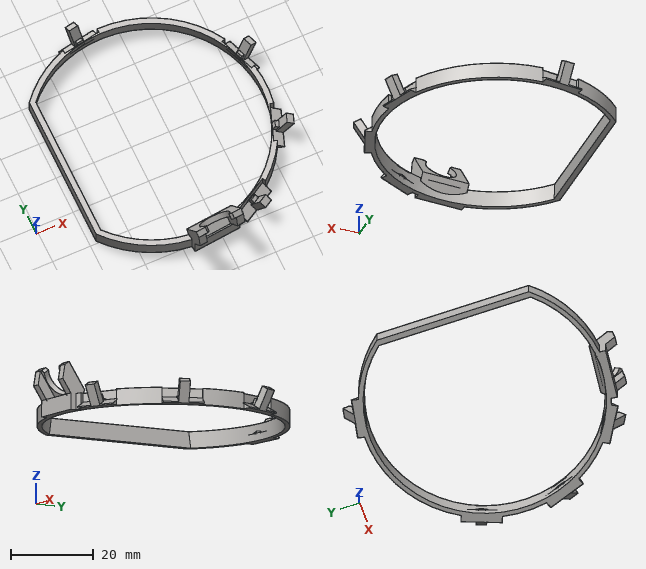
import cadquery as cq
import math

RING_OUTER_RADIUS = 30.5
BORE_TOP_RADIUS = 29.0
BORE_BOTTOM_RADIUS = 29.35
FLAT_WALL = 1.5
RING_HEIGHT = 4.0
FLAT_DISTANCE = 23.56

CLIP_ANGLES = (-59.5, -19.5, 20.5, 100.5)
CLIP_TILT = 30
LEDGE_WIDTH = 10.0
LEDGE_BACK_RADIUS = 29.15
LEDGE_TIP_RADIUS = 31.82
LEDGE_TIP_HEIGHT = 0.27
POST_WIDTH = 2.5
POST_THICKNESS = 2.0
POST_LENGTH = 5.25
STOP_WIDTH = 1.7
STOP_HEIGHT = 1.55

HOLDER_ANGLE = -84
HOLDER_WIDTH = 12.5
HOLDER_LEAN = 35
BLOCK_OUTER_RADIUS = 31.33
BLOCK_INNER_RADIUS = 29.4
GUSSET_FOOT_HEIGHT = 1.5
CRADLE_THICKNESS = 4.0
CRADLE_LENGTH = 8.0
TOTAL_HEIGHT = 11.69
WEB_THICKNESS = 1.5
BEVEL_START = 5.5
ARM_WIDTH = 2.0
SLOT_WIDTH = HOLDER_WIDTH - 2 * ARM_WIDTH
SLOT_FLOOR = -0.4
CUP_RADIUS = 4.0
CUP_BOTTOM = 0.75
CUP_CENTRE = CUP_BOTTOM + CUP_RADIUS
SNAP_OPENING = 6.25
MOUTH_OPENING = 7.5


def radial_slab(points, width):
    """Extrude a (radius, height) outline to a width centred on the XZ plane."""
    return cq.Workplane("XZ").polyline(points).close().extrude(width / 2, both=True)


def turned(body, angle):
    return body.rotate((0, 0, 0), (0, 0, 1), angle)


def make_disc():
    corner = math.sqrt(RING_OUTER_RADIUS**2 - FLAT_DISTANCE**2)
    return (
        cq.Workplane("XY")
        .moveTo(-FLAT_DISTANCE, -corner)
        .threePointArc((RING_OUTER_RADIUS, 0), (-FLAT_DISTANCE, corner))
        .close()
        .extrude(RING_HEIGHT)
    )


def make_bore():
    """Tapered plug that stops at the inside of the flat wall."""
    cone = cq.Workplane(
        cq.Solid.makeCone(BORE_BOTTOM_RADIUS, BORE_TOP_RADIUS, RING_HEIGHT)
    )
    flat_inside = FLAT_DISTANCE - FLAT_WALL
    keep = cq.Workplane("XY").box(
        flat_inside + BORE_BOTTOM_RADIUS,
        2 * BORE_BOTTOM_RADIUS,
        RING_HEIGHT,
        centered=(False, True, False),
    )
    return cone.intersect(keep.translate((-flat_inside, 0, 0)))


def ledge_point(inward, above):
    """Point measured from the ledge tip, up the slope and square to it."""
    tilt = math.radians(CLIP_TILT)
    radius = LEDGE_TIP_RADIUS - inward * math.cos(tilt) + above * math.sin(tilt)
    height = LEDGE_TIP_HEIGHT + inward * math.sin(tilt) + above * math.cos(tilt)
    return radius, height


def ledge_block(start, end, height, width):
    corners = [
        ledge_point(start, 0),
        ledge_point(end, 0),
        ledge_point(end, height),
        ledge_point(start, height),
    ]
    return radial_slab(corners, width)


def add_clip(body, angle):
    tilt = math.radians(CLIP_TILT)
    ledge_length = (LEDGE_TIP_RADIUS - LEDGE_BACK_RADIUS) / math.cos(tilt)
    tip = ledge_point(0, 0)
    back = ledge_point(ledge_length, 0)
    toe_radius = LEDGE_TIP_RADIUS - LEDGE_TIP_HEIGHT * math.tan(tilt)

    notch = radial_slab(
        [tip, back, (LEDGE_BACK_RADIUS, RING_HEIGHT), (LEDGE_TIP_RADIUS, RING_HEIGHT)],
        LEDGE_WIDTH,
    )
    ledge = radial_slab([(LEDGE_BACK_RADIUS, 0), (toe_radius, 0), tip, back], LEDGE_WIDTH)
    post = ledge_block(0, POST_THICKNESS, POST_LENGTH, POST_WIDTH)
    stop = ledge_block(POST_THICKNESS, ledge_length, STOP_HEIGHT, STOP_WIDTH)

    body = body.cut(turned(notch, angle))
    for piece in (ledge, post, stop):
        body = body.union(turned(piece, angle))
    return body


def make_holder():
    lean = math.radians(HOLDER_LEAN)
    foot_height = TOTAL_HEIGHT - CRADLE_LENGTH * math.cos(lean)
    front_start = (
        RING_HEIGHT - foot_height + CRADLE_THICKNESS * math.sin(lean)
    ) / math.cos(lean)
    foot_radius = (
        BLOCK_OUTER_RADIUS - CRADLE_THICKNESS * math.cos(lean) - front_start * math.sin(lean)
    )

    def cradle_point(along, depth):
        """Point measured from the foot of the back face, up the lean and square to it."""
        radius = foot_radius + along * math.sin(lean) + depth * math.cos(lean)
        height = foot_height + along * math.cos(lean) - depth * math.sin(lean)
        return radius, height

    body = radial_slab(
        [
            (BLOCK_INNER_RADIUS, 0),
            (BLOCK_OUTER_RADIUS, 0),
            (BLOCK_OUTER_RADIUS, RING_HEIGHT),
            cradle_point(BEVEL_START, CRADLE_THICKNESS),
            cradle_point(CRADLE_LENGTH, WEB_THICKNESS),
            cradle_point(CRADLE_LENGTH, 0),
            cradle_point(0, 0),
            (BLOCK_INNER_RADIUS, GUSSET_FOOT_HEIGHT),
        ],
        HOLDER_WIDTH,
    )

    slot = radial_slab(
        [
            cradle_point(SLOT_FLOOR, WEB_THICKNESS),
            cradle_point(SLOT_FLOOR, CRADLE_THICKNESS),
            cradle_point(CRADLE_LENGTH, CRADLE_THICKNESS),
            cradle_point(CRADLE_LENGTH, WEB_THICKNESS),
        ],
        SLOT_WIDTH,
    )

    back_face = cq.Plane(
        origin=(foot_radius, 0, foot_height),
        xDir=(0, -1, 0),
        normal=(-math.cos(lean), 0, math.sin(lean)),
    )
    snap_half = SNAP_OPENING / 2
    mouth_half = MOUTH_OPENING / 2
    snap_along = CUP_CENTRE + math.sqrt(CUP_RADIUS**2 - snap_half**2)
    cup = (
        cq.Workplane(back_face)
        .moveTo(-snap_half, snap_along)
        .threePointArc((0, CUP_BOTTOM), (snap_half, snap_along))
        .lineTo(mouth_half, CRADLE_LENGTH)
        .lineTo(-mouth_half, CRADLE_LENGTH)
        .close()
        .extrude(-WEB_THICKNESS)
    )
    return turned(body, HOLDER_ANGLE), turned(slot.union(cup), HOLDER_ANGLE)


holder, holder_opening = make_holder()

result = make_disc()
for clip_angle in CLIP_ANGLES:
    result = add_clip(result, clip_angle)
result = result.cut(make_bore()).union(holder).cut(holder_opening)